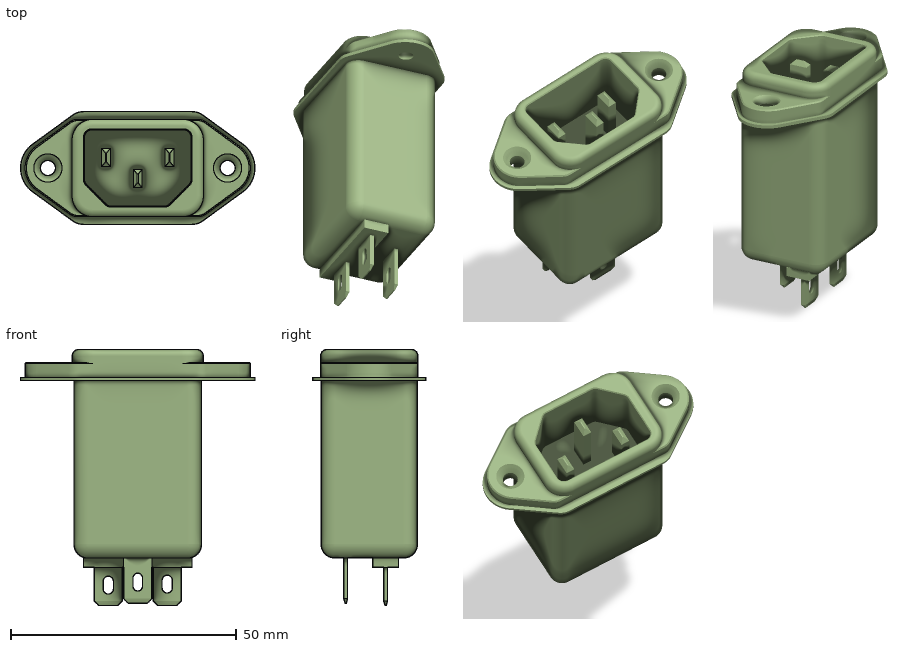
import cadquery as cq
import math


plate_length, plate_width, plate_thickness = 52.1, 25.1, 0.75
plate_end_radius, plate_corner_radius = 6.55, 4.0
flange_length, flange_width, flange_thickness = 50.05, 21.65, 3.3
flange_end_radius, flange_corner_radius = 6.0, 3.0
flange_edge_chamfer = 0.3
taper_angle = math.radians(36)

screw_pitch = 39.9
screw_diameter, countersink_diameter = 3.3, 6.25
countersink_angle = 90

collar_length, collar_width, collar_rise = 29.15, flange_width, 2.9
collar_corner_radius, collar_rim_radius = 4.55, 1.5

socket_length, socket_width, socket_depth = 23.7, 16.95, 15.95
socket_corner_cut, socket_corner_radius = 5.3, 1.7
socket_mouth_chamfer, socket_mouth_angle = 0.2, 45
pin_width, pin_length, pin_tip_height = 2.0, 4.1, 1.0
side_pin_depth, earth_pin_depth = 4.55, 1.35
pin_ridge_width, pin_ridge_length = 0.2, 2.0
pin_spacing_x, pin_offset_y = 7.05, 2.35

can_length, can_width, can_height = 28.35, 21.4, 39.4
can_radius = 3.0

block_length, block_width, block_height = 24.15, 5.8, 2.1
block_y = 3.65
tab_width, tab_thickness = 6.25, 0.9
tab_tip_height, tab_tip_thickness = 1.0, 0.3
slot_length = 3.9
side_tab_x, side_tab_length, side_slot_width = 6.55, 10.6, 2.2
earth_tab_y, earth_tab_length, earth_slot_width = -5.25, 10.1, 2.05
left_slot_height, right_slot_height, earth_slot_height = 4.55, 4.8, 4.7

flange_top = plate_thickness + flange_thickness
rim_top = flange_top + collar_rise
socket_floor = rim_top - socket_depth
can_bottom = -can_height


def oval_flange(length, width, end_radius, corner_radius, bottom, thickness):
    """Hexagonal flange with both X ends and its four shoulders rounded."""
    end_centre = length / 2 - end_radius
    tip_x = end_centre + end_radius / math.sin(taper_angle)
    shoulder_y = width / 2
    shoulder_x = tip_x - shoulder_y / math.tan(taper_angle)
    outline = [
        (tip_x, 0),
        (shoulder_x, shoulder_y),
        (-shoulder_x, shoulder_y),
        (-tip_x, 0),
        (-shoulder_x, -shoulder_y),
        (shoulder_x, -shoulder_y),
    ]
    flange = cq.Workplane("XY").workplane(offset=bottom).polyline(outline).close().extrude(thickness)
    flange = flange.edges("|Z and (>Y or <Y)").fillet(corner_radius)
    return flange.edges("|Z and (>X or <X)").fillet(end_radius)


def block_on(bottom, length, width, height):
    """Box centred on the Z axis, standing on the given level."""
    return cq.Workplane("XY").workplane(offset=bottom).rect(length, width).extrude(height)


def make_collar():
    collar = block_on(plate_thickness, collar_length, collar_width, rim_top - plate_thickness)
    collar = collar.edges("|Z").fillet(collar_corner_radius)
    return collar.faces(">Z").edges().fillet(collar_rim_radius)


def make_can():
    can = block_on(can_bottom, can_length, can_width, can_height)
    can = can.edges("|Z").fillet(can_radius)
    return can.faces("<Z").edges().fillet(can_radius)


def make_socket():
    """Socket cavity: -Y corners cut off, all upright edges rounded, mouth flared."""
    cavity = block_on(socket_floor, socket_length, socket_width, socket_depth)
    cavity = cavity.edges("|Z and <Y").chamfer(socket_corner_cut)
    cavity = cavity.edges("|Z").fillet(socket_corner_radius)
    flare = (
        cavity.faces(">Z")
        .wires()
        .toPending()
        .offset2D(socket_mouth_chamfer)
        .extrude(-socket_mouth_chamfer, combine=False, taper=socket_mouth_angle)
    )
    return cavity.union(flare)


def make_pin(x, y, tip_depth):
    """Contact pin with a hipped tip, rising from the socket floor."""
    tip_base = rim_top - tip_depth - pin_tip_height
    shank = block_on(socket_floor, pin_width, pin_length, tip_base - socket_floor)
    tip = (
        cq.Workplane("XY")
        .workplane(offset=tip_base)
        .rect(pin_width, pin_length)
        .workplane(offset=pin_tip_height)
        .rect(pin_ridge_width, pin_ridge_length)
        .loft()
    )
    return shank.union(tip).translate((x, y, 0))


def make_tab(x, y, length, slot_width, slot_height):
    """Slotted solder tab with cut corners and a tip bevelled on both faces."""
    tip_z = can_bottom - length
    bevel_z = tip_z + tab_tip_height
    blade = cq.Workplane("XY").box(tab_width, tab_thickness, length, centered=(True, True, False))
    blade = blade.edges("|Y and <Z").chamfer(tab_tip_height).translate((0, 0, tip_z))
    side_profile = [
        (-tab_tip_thickness / 2, tip_z),
        (tab_tip_thickness / 2, tip_z),
        (tab_thickness / 2, bevel_z),
        (tab_thickness / 2, can_bottom),
        (-tab_thickness / 2, can_bottom),
        (-tab_thickness / 2, bevel_z),
    ]
    bevel = cq.Workplane("YZ").polyline(side_profile).close().extrude(tab_width / 2, both=True)
    slot = (
        cq.Workplane("XZ")
        .center(0, tip_z + slot_height)
        .slot2D(slot_length, slot_width, 90)
        .extrude(tab_thickness, both=True)
    )
    return blade.intersect(bevel).cut(slot).translate((x, y, 0))


plate = oval_flange(plate_length, plate_width, plate_end_radius, plate_corner_radius, 0, plate_thickness)
flange = oval_flange(
    flange_length,
    flange_width,
    flange_end_radius,
    flange_corner_radius,
    plate_thickness,
    flange_thickness,
)
flange = flange.faces(">Z").edges().chamfer(flange_edge_chamfer)
housing = plate.union(flange)
housing = (
    housing.faces(">Z")
    .workplane(origin=(0, 0, flange_top))
    .pushPoints([(-screw_pitch / 2, 0), (screw_pitch / 2, 0)])
    .cskHole(screw_diameter, countersink_diameter, countersink_angle)
)
housing = housing.union(make_collar()).union(make_can())

housing = housing.cut(make_socket())
for pin_x in (-pin_spacing_x, pin_spacing_x):
    housing = housing.union(make_pin(pin_x, pin_offset_y, side_pin_depth))
housing = housing.union(make_pin(0, -pin_offset_y, earth_pin_depth))

block = block_on(can_bottom - block_height, block_length, block_width, block_height)
housing = housing.union(block.translate((0, block_y, 0)))
tabs = [
    make_tab(-side_tab_x, block_y, side_tab_length, side_slot_width, left_slot_height),
    make_tab(side_tab_x, block_y, side_tab_length, side_slot_width, right_slot_height),
    make_tab(0, earth_tab_y, earth_tab_length, earth_slot_width, earth_slot_height),
]
for tab in tabs:
    housing = housing.union(tab)

result = housing